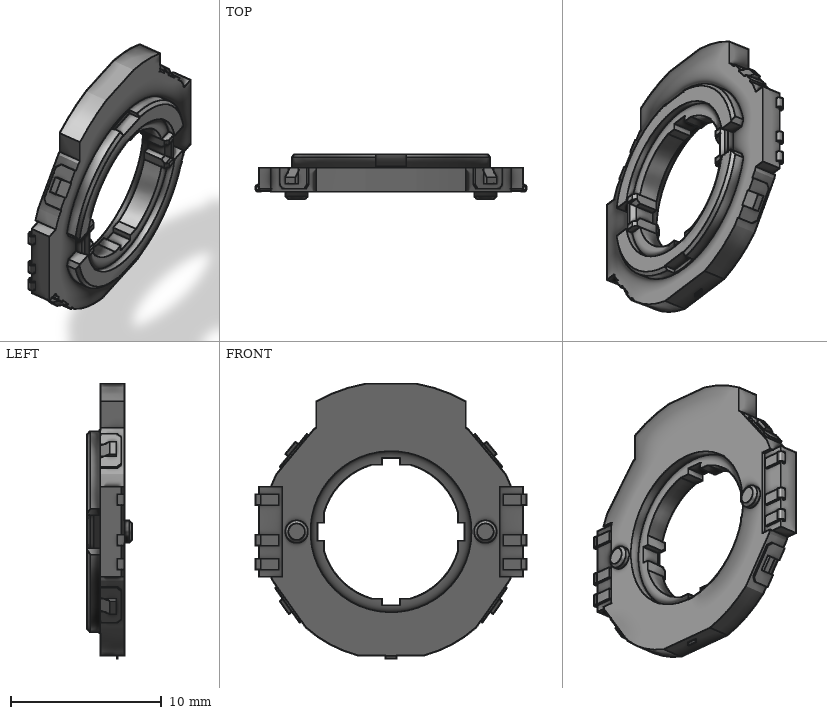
import cadquery as cq
import math

BODY_T = 1.6
BODY_R = 8.5
BODY_BOTTOM = -8.21
EDGE_FLAT = 8.29
UPPER_ANGLE = 39.8
LOWER_ANGLE = -35.4

HEAD_R = 9.96
HEAD_HALF_W = 4.96
HEAD_TOP = 9.82

COLLAR_R = 6.75
COLLAR_BACK = 2.5
COLLAR_CHAMFER = 0.22

BORE_R = 4.62
BORE_FLAT = 4.43
NOTCH_REACH = 4.87
NOTCH_HALF_W = 0.58
FRONT_RECESS_D = 10.7
FRONT_RECESS_DEPTH = 0.7
BACK_RECESS_D = 10.93
BACK_RECESS_FLOOR = 2.05

WINDOW_HALF_W = 1.1
WINDOW_MOUTH_HALF_W = 1.51
WINDOW_FLOOR = 5.45
WINDOW_FLARE_START = 6.39
LUG_OUTER = 5.42
LUG_HALF_W = 1.28
LUG_NOTCH_FLARE = 0.3

POCKET_HALF_W = 1.02
POCKET_FLOOR = 6.39
POCKET_FRONT = 1.7

BLOCK_INNER = 7.2
BLOCK_OUTER = 8.76
BLOCK_HALF_H = 3.0
BLOCK_FRONT = 0.22

CONTACT_HEIGHTS = (2.14, -0.57, -2.15)
CONTACT_W = 0.73
CONTACT_T = 0.1
CONTACT_OUTER = 9.0
CONTACT_TOP = 0.5
CONTACT_BEND_R = 0.22
LEG_INNER = 7.45
LEG_OUTER = 8.72
LEG_FRONT = 0.05

CLIP_W = 2.83
CLIP_T = 0.15
CLIP_FRONT = 0.22
CLIP_CORNER = 0.27
HOOK_W = 1.05
HOOK_H = 0.4
HOOK_FRONT = 0.55
HOOK_RAMP_START = 0.99

PIN_D = 1.5
PIN_X = 6.26
PIN_L = 0.5
PIN_CHAMFER = 0.2

TAB_W = 0.73
TAB_T = 0.05
TAB_END = -8.43
TAB_Y = 0.45

OVERLAP = 0.1


def box(x0, x1, y0, y1, z0, z1):
    return cq.Workplane("XY").box(x1 - x0, y1 - y0, z1 - z0, centered=False).translate((x0, y0, z0))


def disc(radius, y0, y1):
    return cq.Workplane("XZ", origin=(0, y0, 0)).circle(radius).extrude(y0 - y1)


def on_both_sides(piece):
    return piece.union(piece.mirror("YZ"))


def turned(piece, angle):
    """Turn a piece that points along +X upwards by angle degrees about the ring axis."""
    return piece.rotate((0, 0, 0), (0, 1, 0), -angle)


def make_body():
    body = disc(BODY_R, 0, BODY_T)
    body = body.intersect(box(-BODY_R, BODY_R, 0, BODY_T, BODY_BOTTOM, BODY_R))
    beyond_flat = box(EDGE_FLAT, HEAD_R, 0, BODY_T, -BODY_R, BODY_R)
    for angle in (UPPER_ANGLE, LOWER_ANGLE):
        body = body.cut(on_both_sides(turned(beyond_flat, angle)))
    head = disc(HEAD_R, 0, BODY_T)
    head = head.intersect(box(-HEAD_HALF_W, HEAD_HALF_W, 0, BODY_T, 0, HEAD_TOP))
    return body.union(head)


def make_collar():
    collar = disc(COLLAR_R, BODY_T - OVERLAP, COLLAR_BACK).faces(">Y").chamfer(COLLAR_CHAMFER)
    pocket = box(-POCKET_HALF_W, POCKET_HALF_W, POCKET_FRONT, COLLAR_BACK, POCKET_FLOOR, COLLAR_R)
    collar = collar.cut(pocket).cut(pocket.mirror("XY"))
    return collar.cut(disc(BACK_RECESS_D / 2, BACK_RECESS_FLOOR, COLLAR_BACK))


def side_window():
    """Opening through the side of the collar, with a flared mouth."""
    mouth_x = math.sqrt(COLLAR_R**2 - WINDOW_MOUTH_HALF_W**2)
    return (
        cq.Workplane("XZ", origin=(0, BODY_T, 0))
        .moveTo(WINDOW_FLOOR, -WINDOW_HALF_W)
        .lineTo(WINDOW_FLARE_START, -WINDOW_HALF_W)
        .lineTo(mouth_x, -WINDOW_MOUTH_HALF_W)
        .lineTo(COLLAR_R, -WINDOW_MOUTH_HALF_W)
        .lineTo(COLLAR_R, WINDOW_MOUTH_HALF_W)
        .lineTo(mouth_x, WINDOW_MOUTH_HALF_W)
        .lineTo(WINDOW_FLARE_START, WINDOW_HALF_W)
        .lineTo(WINDOW_FLOOR, WINDOW_HALF_W)
        .close()
        .extrude(BODY_T - COLLAR_BACK)
    )


def make_lug():
    """Raised lug behind the side window, with chamfered back edges and a flared notch."""
    lug = box(BORE_FLAT, LUG_OUTER, BACK_RECESS_FLOOR - OVERLAP, COLLAR_BACK, -LUG_HALF_W, LUG_HALF_W)
    lug = lug.faces(">Y").edges("|Z").chamfer(COLLAR_CHAMFER)
    reach = NOTCH_REACH + LUG_NOTCH_FLARE
    half_w = NOTCH_HALF_W + LUG_NOTCH_FLARE
    cutter = box(0, reach, BACK_RECESS_FLOOR, COLLAR_BACK, -half_w, half_w)
    cutter = cutter.faces("<Y").edges().chamfer(LUG_NOTCH_FLARE)
    return lug.cut(cutter)


def make_bore():
    bore = disc(BORE_R, 0, COLLAR_BACK)
    bore = bore.intersect(box(-BORE_FLAT, BORE_FLAT, 0, COLLAR_BACK, -BORE_FLAT, BORE_FLAT))
    notches = box(-NOTCH_REACH, NOTCH_REACH, 0, COLLAR_BACK, -NOTCH_HALF_W, NOTCH_HALF_W)
    bore = bore.union(notches).union(turned(notches, 90))
    return bore.union(disc(FRONT_RECESS_D / 2, 0, FRONT_RECESS_DEPTH))


def make_contact(height):
    """Flat leg on the block front that bends round the outer edge of the block."""
    bend_inner_r = CONTACT_BEND_R - CONTACT_T
    low, high = height - CONTACT_W / 2, height + CONTACT_W / 2
    leg = box(LEG_INNER, LEG_OUTER, LEG_FRONT, BLOCK_FRONT, low, high)
    tail_start = LEG_OUTER - CONTACT_T
    bend = box(tail_start, CONTACT_OUTER, 0, CONTACT_TOP, low, high)
    bend = bend.edges("|Z and >X").fillet(CONTACT_BEND_R)
    hollow = box(
        tail_start - CONTACT_T,
        CONTACT_OUTER - CONTACT_T,
        CONTACT_T,
        CONTACT_TOP - CONTACT_T,
        low,
        high,
    )
    hollow = hollow.edges("|Z and >X").fillet(bend_inner_r)
    beyond_block = box(tail_start, BLOCK_OUTER, CONTACT_T, CONTACT_TOP, low, high)
    return leg.union(bend.cut(hollow).cut(beyond_block))


def make_clip():
    """Clip plate with a ramped hook, pointing along +X."""
    root = EDGE_FLAT - OVERLAP
    face = EDGE_FLAT + CLIP_T
    tip = EDGE_FLAT + HOOK_H
    plate = box(root, face, CLIP_FRONT, BODY_T, -CLIP_W / 2, CLIP_W / 2)
    plate = plate.edges("|X and <Y").chamfer(CLIP_CORNER)
    plate = plate.cut(box(root, face, HOOK_FRONT, BODY_T, -HOOK_W / 2, HOOK_W / 2))
    hook = (
        cq.Workplane("XY", origin=(0, 0, -HOOK_W / 2))
        .moveTo(root, HOOK_FRONT)
        .lineTo(tip, HOOK_FRONT)
        .lineTo(tip, HOOK_RAMP_START)
        .lineTo(EDGE_FLAT, BODY_T)
        .lineTo(root, BODY_T)
        .close()
        .extrude(HOOK_W)
    )
    return plate.union(hook)


def make_pin():
    pin = disc(PIN_D / 2, -PIN_L, OVERLAP).faces("<Y").chamfer(PIN_CHAMFER)
    return pin.translate((PIN_X, 0, 0))


result = make_body().union(make_collar())
result = result.cut(make_bore()).cut(on_both_sides(side_window()))
lug_seat = box(BORE_FLAT, WINDOW_FLOOR, BACK_RECESS_FLOOR, COLLAR_BACK, -WINDOW_HALF_W, WINDOW_HALF_W)
result = result.cut(on_both_sides(lug_seat)).union(on_both_sides(make_lug()))
result = result.cut(make_bore())

block_seat = box(BLOCK_INNER, BODY_R, 0, BLOCK_FRONT, -BLOCK_HALF_H, BLOCK_HALF_H)
block = box(BLOCK_INNER, BLOCK_OUTER, BLOCK_FRONT, BODY_T, -BLOCK_HALF_H, BLOCK_HALF_H)
result = result.cut(on_both_sides(block_seat)).union(on_both_sides(block))
for contact_height in CONTACT_HEIGHTS:
    result = result.union(on_both_sides(make_contact(contact_height)))

for clip_angle in (UPPER_ANGLE, LOWER_ANGLE):
    result = result.union(on_both_sides(turned(make_clip(), clip_angle)))
result = result.union(on_both_sides(make_pin()))
tab = box(-TAB_W / 2, TAB_W / 2, TAB_Y, TAB_Y + TAB_T, TAB_END, BODY_BOTTOM + OVERLAP)
result = result.union(tab)